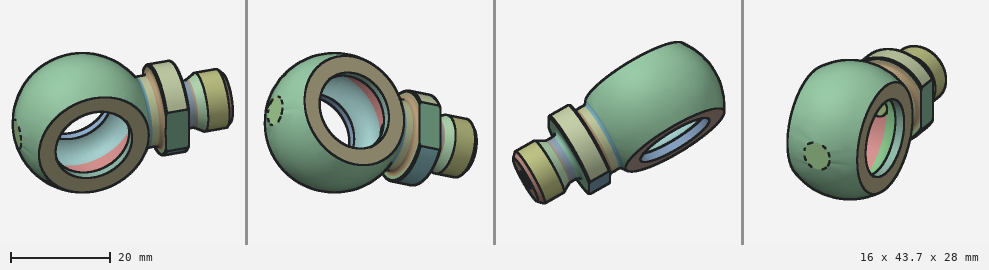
import cadquery as cq
import math

eye_width = 16.0
ball_radius = 14.005
tip_flat_diameter = 5.9
tip_flat_y = -math.sqrt(ball_radius**2 - (tip_flat_diameter / 2) ** 2)
overall_length = 43.7
stem_end_y = tip_flat_y + overall_length

bore_diameter = 16.0
channel_diameter = 23.5
channel_width = 11.97
channel_corner_radius = 4.0
passage_diameter = 4.0

plug_radius = 12.0 / 2
plug_length = 5.45
plug_chamfer = 1.0
plug_cone_angle = math.radians(30)
rear_neck_radius = 9.7 / 2
front_neck_radius = 14.5 / 2
collar_radius = 18.57 / 2
collar_length = 4.9
collar_setback = 10.05
collar_chamfer = 0.25
fillet_radius = 1.0


def arc_point(center, radius, angle_degrees):
    """Point on a circle in the (radius, Y) profile plane."""
    angle = math.radians(angle_degrees)
    return (center[0] + radius * math.cos(angle), center[1] + radius * math.sin(angle))


def make_stem():
    """Revolved stem, its front fillet running tangentially into the ball."""
    collar_rear_y = stem_end_y - collar_setback
    collar_front_y = collar_rear_y - collar_length
    cone_start_y = stem_end_y - plug_length
    cone_end_y = cone_start_y - (plug_radius - rear_neck_radius) / math.tan(plug_cone_angle)
    cone_tangent = fillet_radius * math.tan(plug_cone_angle / 2)

    cone_fillet = (rear_neck_radius + fillet_radius, cone_end_y - cone_tangent)
    rear_fillet = (rear_neck_radius + fillet_radius, collar_rear_y + fillet_radius)
    front_fillet = (front_neck_radius + fillet_radius, collar_front_y - fillet_radius)
    ball_fillet_r = front_neck_radius + fillet_radius
    ball_fillet_reach = ball_radius + fillet_radius
    ball_fillet = (ball_fillet_r, math.sqrt(ball_fillet_reach**2 - ball_fillet_r**2))
    ball_contact = tuple(c * ball_radius / ball_fillet_reach for c in ball_fillet)

    cone_turn = math.degrees(plug_cone_angle)
    ball_turn = math.degrees(math.atan2(ball_fillet[1], ball_fillet[0]))

    profile = (
        cq.Workplane("XY")
        .moveTo(0, 0)
        .lineTo(0, stem_end_y)
        .lineTo(plug_radius - plug_chamfer, stem_end_y)
        .lineTo(plug_radius, stem_end_y - plug_chamfer)
        .lineTo(plug_radius, cone_start_y)
        .lineTo(*arc_point(cone_fillet, fillet_radius, 180 - cone_turn))
        .threePointArc(
            arc_point(cone_fillet, fillet_radius, 180 - cone_turn / 2),
            (rear_neck_radius, cone_fillet[1]),
        )
        .lineTo(rear_neck_radius, rear_fillet[1])
        .threePointArc(
            arc_point(rear_fillet, fillet_radius, 225),
            (rear_fillet[0], collar_rear_y),
        )
        .lineTo(collar_radius - collar_chamfer, collar_rear_y)
        .lineTo(collar_radius, collar_rear_y - collar_chamfer)
        .lineTo(collar_radius, collar_front_y + collar_chamfer)
        .lineTo(collar_radius - collar_chamfer, collar_front_y)
        .lineTo(front_fillet[0], collar_front_y)
        .threePointArc(
            arc_point(front_fillet, fillet_radius, 135),
            (front_neck_radius, front_fillet[1]),
        )
        .lineTo(front_neck_radius, ball_fillet[1])
        .threePointArc(
            arc_point(ball_fillet, fillet_radius, 180 + ball_turn / 2),
            ball_contact,
        )
        .close()
    )
    return profile.revolve(360, (0, 0, 0), (0, 1, 0))


def make_body():
    """Ball and stem, trimmed to the eye width and to the overall length."""
    envelope = cq.Workplane("XY").box(
        eye_width, overall_length, 2 * ball_radius
    ).translate((0, tip_flat_y + overall_length / 2, 0))
    return cq.Workplane("XY").sphere(ball_radius).union(make_stem()).intersect(envelope)


def make_bore():
    """Cross bore, widened between the two end lands by a channel with rounded sides."""
    half_eye = eye_width / 2
    half_channel = channel_width / 2
    bore_radius = bore_diameter / 2
    channel_radius = channel_diameter / 2

    corner_center_r = channel_radius - channel_corner_radius
    corner_rise = bore_radius - corner_center_r
    corner_reach = math.sqrt(channel_corner_radius**2 - corner_rise**2)
    floor_end_x = half_channel - corner_reach
    corner_diagonal = channel_corner_radius * math.sqrt(0.5)
    corner_middle_x = floor_end_x + corner_diagonal
    corner_middle_r = corner_center_r + corner_diagonal

    return (
        cq.Workplane("XY")
        .moveTo(-half_eye, 0)
        .lineTo(-half_eye, bore_radius)
        .lineTo(-half_channel, bore_radius)
        .threePointArc((-corner_middle_x, corner_middle_r), (-floor_end_x, channel_radius))
        .lineTo(floor_end_x, channel_radius)
        .threePointArc((corner_middle_x, corner_middle_r), (half_channel, bore_radius))
        .lineTo(half_eye, bore_radius)
        .lineTo(half_eye, 0)
        .close()
        .revolve(360, (0, 0, 0), (1, 0, 0))
    )


def make_passage():
    """Axial passage from the cross bore out through the stem end."""
    return cq.Workplane("XZ").circle(passage_diameter / 2).extrude(-stem_end_y)


result = make_body().cut(make_bore()).cut(make_passage())